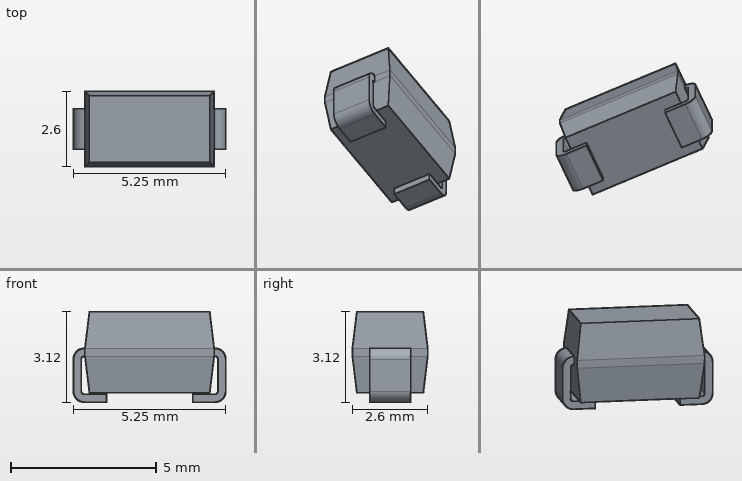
import cadquery as cq

SPAN = 5.25
TOTAL_HEIGHT = 3.12

BAND_LENGTH = 4.45
BAND_WIDTH = 2.6
TAPER_INSET = 0.15
HOUSING_BOTTOM = 0.325

LEAD_THICKNESS = 0.28
LEAD_WIDTH = 1.405
FOOT_LENGTH = 1.145
BEND_OUTER_RADIUS = 0.385
BEND_INNER_RADIUS = BEND_OUTER_RADIUS - LEAD_THICKNESS

BLOCK_HEIGHT = (TOTAL_HEIGHT - HOUSING_BOTTOM - LEAD_THICKNESS) / 2
BAND_BOTTOM = HOUSING_BOTTOM + BLOCK_HEIGHT
BAND_TOP = BAND_BOTTOM + LEAD_THICKNESS


def tapered_block(base_z, end_z):
    """Frustum from the band outline at base_z to the smaller outline at end_z."""
    return (
        cq.Workplane("XY", origin=(0, 0, base_z))
        .rect(BAND_LENGTH, BAND_WIDTH)
        .workplane(offset=end_z - base_z)
        .rect(BAND_LENGTH - 2 * TAPER_INSET, BAND_WIDTH - 2 * TAPER_INSET)
        .loft(ruled=True)
    )


def make_housing():
    """Band and both tapered blocks as one solid."""
    band = (
        cq.Workplane("XY", origin=(0, 0, BAND_BOTTOM))
        .rect(BAND_LENGTH, BAND_WIDTH)
        .extrude(LEAD_THICKNESS)
    )
    upper = tapered_block(BAND_TOP, TOTAL_HEIGHT)
    lower = tapered_block(BAND_BOTTOM, HOUSING_BOTTOM)
    return band.union(upper).union(lower)


def make_lead(side):
    """C-shaped strip from the band's end face down to a foot under the housing.

    side is -1 for the -X end and +1 for the +X end.
    """
    outer_x = side * SPAN / 2
    inner_x = side * (SPAN / 2 - LEAD_THICKNESS)
    band_x = side * BAND_LENGTH / 2
    foot_x = side * (SPAN / 2 - FOOT_LENGTH)
    outer_bend_x = outer_x - side * BEND_OUTER_RADIUS
    inner_bend_x = inner_x - side * BEND_INNER_RADIUS
    outer_radius = -side * BEND_OUTER_RADIUS
    inner_radius = side * BEND_INNER_RADIUS
    return (
        cq.Workplane("XZ", origin=(0, LEAD_WIDTH / 2, 0))
        .moveTo(foot_x, 0)
        .lineTo(outer_bend_x, 0)
        .radiusArc((outer_x, BEND_OUTER_RADIUS), outer_radius)
        .lineTo(outer_x, BAND_TOP - BEND_OUTER_RADIUS)
        .radiusArc((outer_bend_x, BAND_TOP), outer_radius)
        .lineTo(band_x, BAND_TOP)
        .lineTo(band_x, BAND_BOTTOM)
        .lineTo(inner_bend_x, BAND_BOTTOM)
        .radiusArc((inner_x, BAND_BOTTOM - BEND_INNER_RADIUS), inner_radius)
        .lineTo(inner_x, LEAD_THICKNESS + BEND_INNER_RADIUS)
        .radiusArc((inner_bend_x, LEAD_THICKNESS), inner_radius)
        .lineTo(foot_x, LEAD_THICKNESS)
        .close()
        .extrude(LEAD_WIDTH)
    )


housing = make_housing()
leads = [make_lead(side) for side in (-1, 1)]

result = cq.Compound.makeCompound([housing.val(), *[lead.val() for lead in leads]])